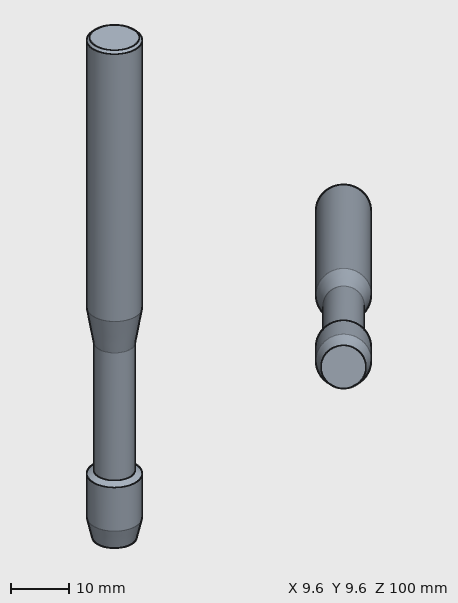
import cadquery as cq

body_diameter = 9.6
overall_length = 100.0

head_radius = body_diameter / 2
head_tip_radius = 3.88
head_lead_length = 4.0
head_shoulder_z = 12.7

shank_radius = body_diameter / 2
neck_radius = 3.6
head_top_z = 13.4
neck_top_z = 39.0
shank_start_z = 46.0
top_chamfer_radial = 0.5
top_chamfer_height = 0.5


def turned_body(outline):
    """Revolve a closed (radius, height) outline once around the Z axis."""
    return (
        cq.Workplane("XZ")
        .polyline(outline)
        .close()
        .revolve(360, (0, 0, 0), (0, 1, 0))
    )


def make_head():
    """Cylindrical head with a tapered lead below and a conical shoulder up to the neck."""
    return turned_body([
        (0, 0),
        (head_tip_radius, 0),
        (head_radius, head_lead_length),
        (head_radius, head_shoulder_z),
        (neck_radius, head_top_z),
        (0, head_top_z),
    ])


def make_shank():
    """Neck on top of the head, flaring to the full shank with a chamfered end."""
    return turned_body([
        (0, head_top_z),
        (neck_radius, head_top_z),
        (neck_radius, neck_top_z),
        (shank_radius, shank_start_z),
        (shank_radius, overall_length - top_chamfer_height),
        (shank_radius - top_chamfer_radial, overall_length),
        (0, overall_length),
    ])


head = make_head()
shank = make_shank()

result = cq.Compound.makeCompound([head.val(), shank.val()])